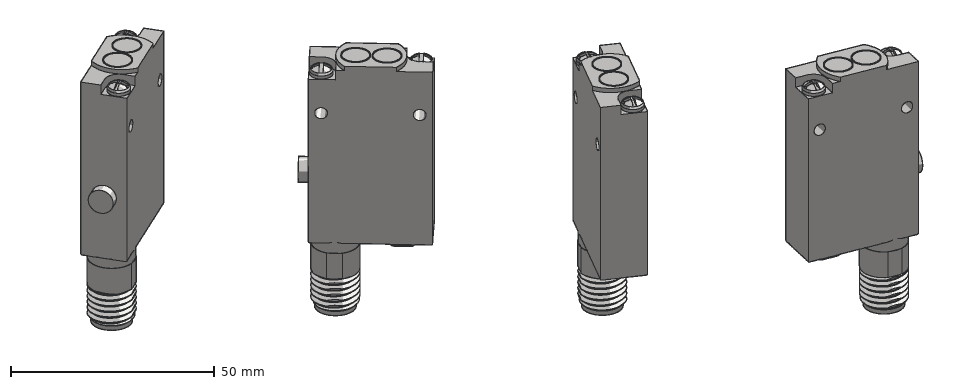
import cadquery as cq
import math

HOUSING_WIDTH = 11.95
HOUSING_DEPTH = 30.65
HOUSING_BOTTOM = 20.5
HOUSING_TOP = 69.55
BOTTOM_EDGE_RADIUS = 0.85

COVER_TOP = 70.75
COVER_RADIUS = 8.8
LENS_SPACING = 7.7
LENS_GROOVE_OUTER_RADIUS = 3.7
LENS_GROOVE_INNER_RADIUS = 3.5
LENS_GROOVE_DEPTH = 0.2

RECESS_SIZE = 6.7
RECESS_DEPTH = 2.6
SCREW_INSET = 3.1
SCREW_RADIUS = 2.9
SCREW_RIM_HEIGHT = 0.85
SCREW_SHOULDER_HEIGHT = 1.5
SCREW_DOME_HEIGHT = 2.55
SCREW_DOME_RADIUS = 2.6
CROSS_SLOT_LONG_WIDTH = 1.05
CROSS_SLOT_SHORT_WIDTH = 0.85

MOUNT_HOLE_DIAMETER = 3.1
MOUNT_HOLE_SPACING = 24.3
MOUNT_HOLE_Z = 57.45

BUTTON_DIAMETER = 6.45
BUTTON_LENGTH = 2.6
BUTTON_Z = 38.2

PLUG_SIZE = 7.0
PLUG_Y = 7.7
PLUG_HEIGHT = 2.0
PLUG_CORNER_RADIUS = 1.35
PLUG_CHAMFER = 0.8
PIN_DIAMETER = 1.4
PIN_Y = 12.8
PIN_HEIGHT = 0.2

CONNECTOR_Y = -8.85
COLLAR_BOTTOM = 18.0
THREAD_TOP = 10.75
THREAD_BOTTOM = 1.2
CONNECTOR_RADIUS = 6.1
CONNECTOR_FLAT_WIDTH = 11.5
NOSE_RADIUS = 5.2
THREAD_ROOT_RADIUS = 5.1
THREAD_RISE = 12.7
THREAD_START_ANGLE = -55
THREAD_START_Z = -0.35
THREAD_TURNS = 8
THREAD_PITCH = THREAD_RISE / THREAD_TURNS
THREAD_BASE_WIDTH = 1.5
THREAD_CREST_WIDTH = 0.15
THREAD_OVERLAP = 0.15
CUT_MARGIN = 0.85

HOUSING_HEIGHT = HOUSING_TOP - HOUSING_BOTTOM


def at_height(z):
    return cq.Workplane("XY").workplane(offset=z)


def make_housing():
    block = at_height(HOUSING_BOTTOM).rect(HOUSING_WIDTH, HOUSING_DEPTH).extrude(HOUSING_HEIGHT)
    return block.faces("<Z").edges().fillet(BOTTOM_EDGE_RADIUS)


def make_lens_cover():
    cover_height = COVER_TOP - HOUSING_TOP
    disc = at_height(HOUSING_TOP).circle(COVER_RADIUS).extrude(cover_height)
    trim = at_height(HOUSING_TOP).rect(HOUSING_WIDTH, 2 * COVER_RADIUS).extrude(cover_height)
    grooves = (
        at_height(COVER_TOP)
        .pushPoints([(0, -LENS_SPACING / 2), (0, LENS_SPACING / 2)])
        .circle(LENS_GROOVE_OUTER_RADIUS)
        .circle(LENS_GROOVE_INNER_RADIUS)
        .extrude(-LENS_GROOVE_DEPTH)
    )
    return disc.intersect(trim).cut(grooves)


SCREW_X = -HOUSING_WIDTH / 2 + SCREW_INSET
SCREW_Y = HOUSING_DEPTH / 2 - SCREW_INSET
RECESS_FLOOR = HOUSING_TOP - RECESS_DEPTH


def make_screw_recess():
    """Corner pocket whose inner corner is an arc concentric with the screw."""
    center_x = -HOUSING_WIDTH / 2 + RECESS_SIZE / 2
    center_y = HOUSING_DEPTH / 2 - RECESS_SIZE / 2
    pocket = at_height(RECESS_FLOOR).center(center_x, center_y).rect(RECESS_SIZE, RECESS_SIZE)
    inner_corner_radius = RECESS_SIZE - SCREW_INSET
    return pocket.extrude(RECESS_DEPTH).edges("|Z and >X and <Y").fillet(inner_corner_radius)


def make_screw():
    """Domed screw head with a cross slot cut down to its shoulder."""
    dome_rise = SCREW_DOME_HEIGHT - SCREW_SHOULDER_HEIGHT
    sphere_radius = (SCREW_DOME_RADIUS**2 + dome_rise**2) / (2 * dome_rise)
    mid_radius = SCREW_DOME_RADIUS / 2
    sphere_center = SCREW_DOME_HEIGHT - sphere_radius
    mid_height = sphere_center + math.sqrt(sphere_radius**2 - mid_radius**2)
    head = (
        cq.Workplane("XZ")
        .lineTo(SCREW_RADIUS, 0)
        .lineTo(SCREW_RADIUS, SCREW_RIM_HEIGHT)
        .lineTo(SCREW_DOME_RADIUS, SCREW_SHOULDER_HEIGHT)
        .threePointArc((mid_radius, mid_height), (0, SCREW_DOME_HEIGHT))
        .close()
        .revolve(360, (0, 0), (0, 1))
    )
    slots = at_height(SCREW_SHOULDER_HEIGHT).rect(2 * SCREW_RADIUS, CROSS_SLOT_LONG_WIDTH).extrude(dome_rise)
    cross_arm = at_height(SCREW_SHOULDER_HEIGHT).rect(CROSS_SLOT_SHORT_WIDTH, 2 * SCREW_RADIUS)
    slots = slots.union(cross_arm.extrude(dome_rise))
    return head.cut(slots).translate((SCREW_X, SCREW_Y, RECESS_FLOOR))


def make_mounting_holes():
    half_spacing = MOUNT_HOLE_SPACING / 2
    return (
        cq.Workplane("YZ")
        .pushPoints([(-half_spacing, MOUNT_HOLE_Z), (half_spacing, MOUNT_HOLE_Z)])
        .circle(MOUNT_HOLE_DIAMETER / 2)
        .extrude(HOUSING_WIDTH / 2, both=True)
    )


def make_button():
    front_face = cq.Workplane("XZ", origin=(0, -HOUSING_DEPTH / 2, BUTTON_Z))
    return front_face.circle(BUTTON_DIAMETER / 2).extrude(BUTTON_LENGTH)


def make_plug():
    block = at_height(HOUSING_BOTTOM).center(0, PLUG_Y).rect(PLUG_SIZE, PLUG_SIZE).extrude(-PLUG_HEIGHT)
    return block.edges("|Z").fillet(PLUG_CORNER_RADIUS).faces("<Z").edges().chamfer(PLUG_CHAMFER)


def make_pin():
    return at_height(HOUSING_BOTTOM).center(0, PIN_Y).circle(PIN_DIAMETER / 2).extrude(-PIN_HEIGHT)


def thread_helix(radius, height):
    """Right-handed helix edge whose lower end is at the given height."""
    start = cq.Vector(0, 0, height)
    return cq.Wire.makeHelix(THREAD_PITCH, THREAD_RISE, radius, center=start).Edges()[0]


def make_thread_ridge():
    """Helical ridge bounded by ruled faces between four helices and by a flat face at each end."""
    foot_radius = THREAD_ROOT_RADIUS - THREAD_OVERLAP
    helices = [
        thread_helix(foot_radius, THREAD_START_Z - THREAD_BASE_WIDTH / 2),
        thread_helix(CONNECTOR_RADIUS, THREAD_START_Z - THREAD_CREST_WIDTH / 2),
        thread_helix(CONNECTOR_RADIUS, THREAD_START_Z + THREAD_CREST_WIDTH / 2),
        thread_helix(foot_radius, THREAD_START_Z + THREAD_BASE_WIDTH / 2),
    ]
    next_helices = helices[1:] + helices[:1]
    faces = [cq.Face.makeRuledSurface(first, second) for first, second in zip(helices, next_helices)]
    for end_points in (
        [helix.startPoint() for helix in helices],
        [helix.endPoint() for helix in helices],
    ):
        faces.append(cq.Face.makeFromWires(cq.Wire.makePolygon(end_points, close=True)))
    ridge = cq.Workplane(cq.Solid.makeSolid(cq.Shell.makeShell(faces)))
    return ridge.rotate((0, 0, 0), (0, 0, 1), THREAD_START_ANGLE)


def make_flats(bottom, top):
    """Slab between the two parallel flats that run down the barrel and the thread."""
    slab_length = 2 * (CONNECTOR_RADIUS + CUT_MARGIN)
    return at_height(bottom).rect(CONNECTOR_FLAT_WIDTH, slab_length).extrude(top - bottom)


def make_thread_lead():
    """Ring to cut away that bevels the lower end of the thread at 45 degrees."""
    outer_radius = CONNECTOR_RADIUS + CUT_MARGIN
    return (
        cq.Workplane("XZ")
        .moveTo(NOSE_RADIUS, THREAD_BOTTOM)
        .lineTo(outer_radius, THREAD_BOTTOM)
        .lineTo(outer_radius, THREAD_BOTTOM + outer_radius - NOSE_RADIUS)
        .close()
        .revolve(360, (0, 0), (0, 1))
    )


def make_connector():
    """Collar, flatted barrel, thread and nose, made about the Z axis and moved into place."""
    collar_height = HOUSING_BOTTOM + BOTTOM_EDGE_RADIUS - COLLAR_BOTTOM
    collar = at_height(COLLAR_BOTTOM).circle(HOUSING_WIDTH / 2).extrude(collar_height)
    barrel = at_height(THREAD_TOP).circle(CONNECTOR_RADIUS).extrude(COLLAR_BOTTOM - THREAD_TOP)
    barrel = barrel.intersect(make_flats(THREAD_TOP, COLLAR_BOTTOM))
    core = at_height(THREAD_BOTTOM).circle(THREAD_ROOT_RADIUS).extrude(THREAD_TOP - THREAD_BOTTOM)
    ridge = make_thread_ridge().intersect(make_flats(THREAD_BOTTOM, THREAD_TOP)).cut(make_thread_lead())
    thread = core.union(ridge)
    nose = cq.Workplane("XY").circle(NOSE_RADIUS).extrude(THREAD_BOTTOM)
    return collar.union(barrel).union(nose).union(thread).translate((0, CONNECTOR_Y, 0))


result = make_housing().union(make_lens_cover()).cut(make_mounting_holes())
for corner_angle in (0, 180):
    result = result.cut(make_screw_recess().rotate((0, 0, 0), (0, 0, 1), corner_angle))
    result = result.union(make_screw().rotate((0, 0, 0), (0, 0, 1), corner_angle))
for added_part in (make_button(), make_plug(), make_pin(), make_connector()):
    result = result.union(added_part)